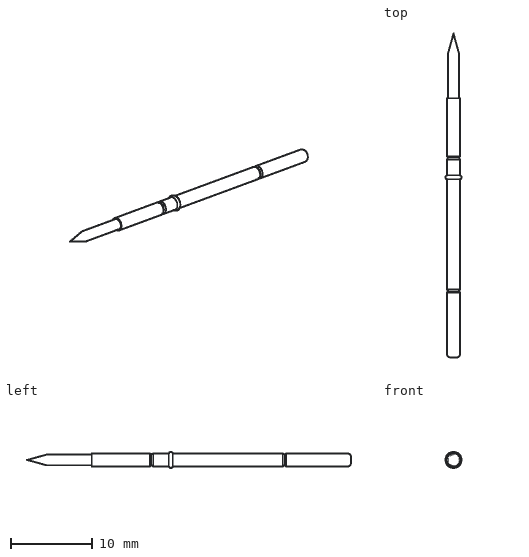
import cadquery as cq

length = 40.0
collar_diameter = 2.0

barrel_diameter = 1.65
end_rounding = 0.45

plunger_diameter = 1.35
plunger_length = 8.0
cone_length = 2.45

collar_distance = 17.75
collar_width = 0.5
front_groove_distance = 15.35
rear_groove_distance = 31.8
groove_width = 0.45
groove_depth = 0.14

barrel_radius = barrel_diameter / 2
plunger_radius = plunger_diameter / 2
collar_radius = collar_diameter / 2
rear_y = -length / 2
point_y = length / 2


def turned(profile):
    """Revolve a half profile a full turn about the Y axis."""
    return profile.revolve(360, (0, 0, 0), (0, 1, 0))


def barrel():
    """Cylinder up to the plunger, with its rear edge rounded."""
    barrel_length = length - plunger_length
    base = cq.Workplane("XZ", origin=(0, rear_y, 0)).circle(barrel_radius).extrude(-barrel_length)
    return base.faces("<Y").edges().fillet(end_rounding)


def plunger():
    """Shaft with a conical point, starting at the front end of the barrel."""
    profile = (
        cq.Workplane("XY")
        .moveTo(0, point_y - plunger_length)
        .lineTo(-plunger_radius, point_y - plunger_length)
        .lineTo(-plunger_radius, point_y - cone_length)
        .lineTo(0, point_y)
        .close()
    )
    return turned(profile)


def collar():
    """Ring around the barrel with an arched rim."""
    center_y = point_y - collar_distance
    half_width = collar_width / 2
    profile = (
        cq.Workplane("XY")
        .moveTo(0, center_y - half_width)
        .lineTo(-barrel_radius, center_y - half_width)
        .threePointArc((-collar_radius, center_y), (-barrel_radius, center_y + half_width))
        .lineTo(0, center_y + half_width)
        .close()
    )
    return turned(profile)


def groove(distance):
    """Cutter for a shallow V-shaped groove around the barrel."""
    center_y = point_y - distance
    half_width = groove_width / 2
    profile = (
        cq.Workplane("XY")
        .moveTo(-barrel_radius, center_y - half_width)
        .lineTo(-barrel_radius + groove_depth, center_y)
        .lineTo(-barrel_radius, center_y + half_width)
        .close()
    )
    return turned(profile)


result = (
    barrel()
    .union(plunger())
    .union(collar())
    .cut(groove(front_groove_distance))
    .cut(groove(rear_groove_distance))
)